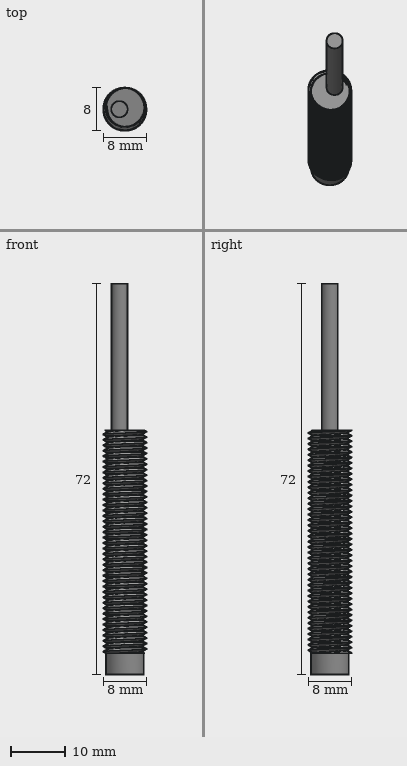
import cadquery as cq
import math

nose_length = 4.0
cable_length = 27.0

nose_diameter = 7.0
cable_diameter = 3.0
cable_offset_x = -1.0

thread_diameter = 8.0
pitch = 1.0
turn_count = 41
thread_end = nose_length + turn_count * pitch
flank_half_angle = math.radians(30)
root_flat = pitch / 8
ridge_width = pitch - root_flat
thread_depth = ridge_width / 2 / math.tan(flank_half_angle)
crest_radius = thread_diameter / 2
root_radius = crest_radius - thread_depth
crest_direction = math.radians(90)


def polar(radius, angle):
    """Point in the XY plane at a radius and an angle."""
    return (radius * math.cos(angle), radius * math.sin(angle))


def flank_curve(start_radius, end_radius, start_angle, end_angle):
    """Spiral along which the radius changes evenly with the angle."""

    def point(fraction):
        radius = start_radius + (end_radius - start_radius) * fraction
        return polar(radius, start_angle + (end_angle - start_angle) * fraction)

    return point


def make_turn():
    """One turn of the thread: its flat cross-section, twisted once around Z over one pitch."""
    half_ridge_angle = math.pi * ridge_width / pitch
    ridge_start = crest_direction - half_ridge_angle
    ridge_end = crest_direction + half_ridge_angle
    rising_flank = flank_curve(root_radius, crest_radius, ridge_start, crest_direction)
    falling_flank = flank_curve(crest_radius, root_radius, crest_direction, ridge_end)
    root_middle = polar(root_radius, crest_direction + math.pi)
    section = (
        cq.Workplane("XY", origin=(0, 0, nose_length))
        .moveTo(*rising_flank(0))
        .parametricCurve(rising_flank, makeWire=False)
        .parametricCurve(falling_flank, makeWire=False)
        .threePointArc(root_middle, rising_flank(0))
        .close()
    )
    return section.twistExtrude(pitch, 360)


def cylinder(diameter, length, base_z, center_x=0.0):
    """Upright cylinder standing on the height base_z."""
    return cq.Workplane("XY", origin=(center_x, 0, base_z)).circle(diameter / 2).extrude(length)


def join_turns(first_turn, middle_turns, last_turn):
    """Single solid from stacked turns, sewn along the helical edges of their outer faces."""
    first_joint_z = nose_length + pitch / 2
    last_joint_z = thread_end - pitch / 2

    def is_joint(face):
        height = face.Center().z
        return face.geomType() == "PLANE" and first_joint_z < height < last_joint_z

    turns = [first_turn, *middle_turns, last_turn]
    outer_faces = [face for turn in turns for face in turn.faces().vals() if not is_joint(face)]
    return cq.Workplane(cq.Solid.makeSolid(cq.Shell.makeShell(outer_faces)))


nose = cylinder(nose_diameter, nose_length, 0)
cable = cylinder(cable_diameter, cable_length, thread_end, cable_offset_x)
turn = make_turn()
turns = [turn.translate((0, 0, index * pitch)) for index in range(turn_count)]

result = join_turns(turns[0].union(nose), turns[1:-1], turns[-1].union(cable))